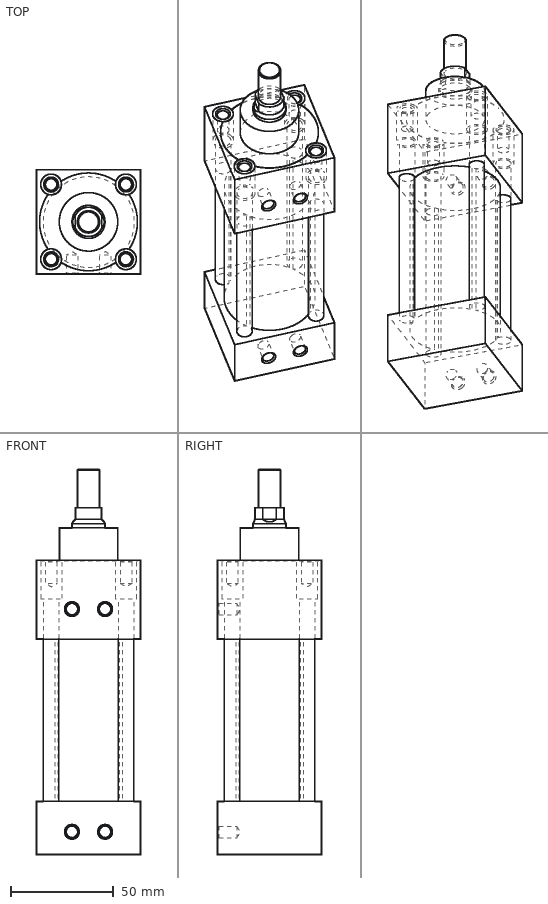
import cadquery as cq
import math

TOTAL_HEIGHT = 187.3
BLOCK_SIDE = 50.8
END_CAP_TOP = 25.9
HEAD_BOTTOM = 104.7
HEAD_TOP = 143.1
NOSE_TOP = 158.8

NOSE_RADIUS = 14.2
RECESS_RADIUS = 23.8
RECESS_DEPTH = 0.2

BARREL_RADIUS = 22.1
TIE_ROD_RADIUS = 3.7
TIE_ROD_HEAD_RADIUS = 5.0
TIE_ROD_HEAD_HEIGHT = 18.7
TIE_ROD_OFFSET = 18.2
TIE_ROD_SEAT = HEAD_TOP - TIE_ROD_HEAD_HEIGHT

HOLE_RADIUS = 2.8
HOLE_MOUTH_RADIUS = 3.5
SOCKET_DEPTH = 11.2
PORT_DEPTH = 9.4
PORT_OFFSET = 8.0
HEAD_PORT_Z = 119.3
END_CAP_PORT_Z = 11.0
DRILL_POINT_ANGLE = 118.0

STUD_RADIUS = 5.5
STUD_CHAMFER = 0.5
STUD_BOTTOM = 168.5
NECK_RADIUS = 7.1
NECK_BOTTOM = 163.0
COLLAR_RADIUS = 8.0
COLLAR_TOP = 160.7
FLAT_DISTANCE = 6.4

CORNERS = [(x * TIE_ROD_OFFSET, y * TIE_ROD_OFFSET) for x in (-1, 1) for y in (-1, 1)]


def cylinder(radius, bottom, top):
    """Vertical cylinder on the main axis."""
    return cq.Workplane("XY").workplane(offset=bottom).circle(radius).extrude(top - bottom)


def corner_cylinders(radius, bottom, top):
    """Four vertical cylinders on the tie-rod axes."""
    return cq.Workplane("XY").workplane(offset=bottom).pushPoints(CORNERS).circle(radius).extrude(top - bottom)


def block(bottom, top):
    """Square block centred on the main axis."""
    return cq.Workplane("XY").workplane(offset=bottom).rect(BLOCK_SIDE, BLOCK_SIDE).extrude(top - bottom)


def drilled_hole(depth):
    """Cutter for a blind hole opening at Z = 0: 45-degree countersink, bore and drill point."""
    countersink = HOLE_MOUTH_RADIUS - HOLE_RADIUS
    point = HOLE_RADIUS / math.tan(math.radians(DRILL_POINT_ANGLE / 2))
    return (
        cq.Workplane("XZ")
        .moveTo(0, 0)
        .lineTo(-HOLE_MOUTH_RADIUS, 0)
        .lineTo(-HOLE_RADIUS, -countersink)
        .lineTo(-HOLE_RADIUS, -depth)
        .lineTo(0, -depth - point)
        .close()
        .revolve(360, (0, 0, 0), (0, 1, 0))
    )


def cut_ports(body, height):
    """Cut the pair of ports into the -Y face at the given height."""
    port = drilled_hole(PORT_DEPTH).rotate((0, 0, 0), (1, 0, 0), 90)
    for x in (-PORT_OFFSET, PORT_OFFSET):
        body = body.cut(port.translate((x, -BLOCK_SIDE / 2, height)))
    return body


def make_end_cap():
    """Plain square block with a pair of ports."""
    return cut_ports(block(0, END_CAP_TOP), END_CAP_PORT_Z)


def make_barrel():
    """Barrel and the four tie rods that merge with its wall; the rod heads sit in the head."""
    barrel = cylinder(BARREL_RADIUS, END_CAP_TOP, HEAD_BOTTOM)
    barrel = barrel.union(corner_cylinders(TIE_ROD_RADIUS, END_CAP_TOP, HEAD_TOP))
    barrel = barrel.union(corner_cylinders(TIE_ROD_HEAD_RADIUS, TIE_ROD_SEAT, HEAD_TOP))
    socket = drilled_hole(SOCKET_DEPTH)
    for x, y in CORNERS:
        barrel = barrel.cut(socket.translate((x, y, HEAD_TOP)))
    return barrel


def make_head():
    """Square block with a shallow round recess, a nose, and stepped holes for the tie rods."""
    head = block(HEAD_BOTTOM, HEAD_TOP)
    head = head.cut(cylinder(RECESS_RADIUS, HEAD_TOP - RECESS_DEPTH, HEAD_TOP))
    head = head.union(cylinder(NOSE_RADIUS, HEAD_BOTTOM, NOSE_TOP))
    head = head.cut(corner_cylinders(TIE_ROD_RADIUS, HEAD_BOTTOM, HEAD_TOP))
    head = head.cut(corner_cylinders(TIE_ROD_HEAD_RADIUS, TIE_ROD_SEAT, HEAD_TOP))
    return cut_ports(head, HEAD_PORT_Z)


def make_piston_rod():
    """Stepped rod end that stands on the nose, with two wrench flats on its neck."""
    rod = (
        cq.Workplane("XZ")
        .moveTo(0, NOSE_TOP)
        .lineTo(COLLAR_RADIUS, NOSE_TOP)
        .lineTo(COLLAR_RADIUS, COLLAR_TOP)
        .lineTo(NECK_RADIUS, NECK_BOTTOM)
        .lineTo(NECK_RADIUS, STUD_BOTTOM)
        .lineTo(STUD_RADIUS, STUD_BOTTOM)
        .lineTo(STUD_RADIUS, TOTAL_HEIGHT - STUD_CHAMFER)
        .lineTo(STUD_RADIUS - STUD_CHAMFER, TOTAL_HEIGHT)
        .lineTo(0, TOTAL_HEIGHT)
        .close()
        .revolve(360, (0, 0, 0), (0, 1, 0))
    )
    runout = COLLAR_RADIUS - FLAT_DISTANCE
    flat = (
        cq.Workplane("XZ")
        .moveTo(FLAT_DISTANCE, STUD_BOTTOM)
        .lineTo(FLAT_DISTANCE, NECK_BOTTOM)
        .lineTo(COLLAR_RADIUS, NECK_BOTTOM - runout)
        .lineTo(COLLAR_RADIUS, STUD_BOTTOM)
        .close()
        .extrude(COLLAR_RADIUS, both=True)
    )
    return rod.cut(flat).cut(flat.mirror("YZ"))


end_cap = make_end_cap()
barrel = make_barrel()
head = make_head()
piston_rod = make_piston_rod()
result = cq.Compound.makeCompound([end_cap.val(), barrel.val(), head.val(), piston_rod.val()])